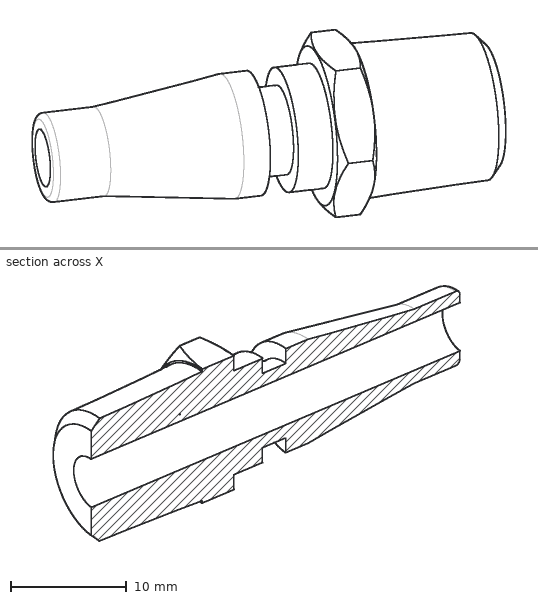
import cadquery as cq
import math

tip_length = 5.0
cone_length = 11.5
front_collar_length = 2.4
groove_length = 2.5
rear_collar_length = 3.1
hex_length = 3.5
thread_length = 12.0

tip_radius = 7.8 / 2
tip_fillet = 0.5
collar_radius = 10.9 / 2
groove_radius = tip_radius
bore_radius = 5.0 / 2

hex_across_flats = 14.0
hex_face_radius = 13.9 / 2
hex_chamfer_angle = 30.0

gauge_radius = 13.157 / 2
gauge_distance = 6.0
thread_slope = 1 / 16 / 2
thread_end_radius = 10.9 / 2
thread_chamfer_length = 0.9

cone_start = tip_length
front_collar_start = cone_start + cone_length
groove_start = front_collar_start + front_collar_length
rear_collar_start = groove_start + groove_length
hex_start = rear_collar_start + rear_collar_length
hex_end = hex_start + hex_length
total_length = hex_end + thread_length
gauge_y = total_length - gauge_distance
thread_chamfer_y = total_length - thread_chamfer_length


def revolve_profile(points):
    """Revolve a closed outline of (radius, y) points about the Y axis."""
    return cq.Workplane("XY").polyline(points).close().revolve(360, (0, 0, 0), (0, 1, 0))


def thread_radius(y):
    """Radius of the tapered thread, shrinking toward the +Y end."""
    return gauge_radius + (gauge_y - y) * thread_slope


def make_plug():
    """Tip, cone, and the two collars with the groove between them."""
    plug = revolve_profile([
        (0, 0),
        (tip_radius, 0),
        (tip_radius, cone_start),
        (collar_radius, front_collar_start),
        (collar_radius, groove_start),
        (groove_radius, groove_start),
        (groove_radius, rear_collar_start),
        (collar_radius, rear_collar_start),
        (collar_radius, hex_start),
        (0, hex_start),
    ])
    return plug.faces("<Y").edges().fillet(tip_fillet)


def make_hexagon():
    """Hexagon with corners on the X axis, cut by a cone on each face."""
    corner_radius = hex_across_flats / math.sqrt(3)
    chamfer_depth = (corner_radius - hex_face_radius) * math.tan(math.radians(hex_chamfer_angle))
    prism = (
        cq.Workplane("XZ", origin=(0, hex_start, 0))
        .polygon(6, 2 * corner_radius)
        .extrude(-hex_length)
    )
    chamfer_envelope = revolve_profile([
        (0, hex_start),
        (hex_face_radius, hex_start),
        (corner_radius, hex_start + chamfer_depth),
        (corner_radius, hex_end - chamfer_depth),
        (hex_face_radius, hex_end),
        (0, hex_end),
    ])
    return prism.intersect(chamfer_envelope)


def make_thread():
    """Tapered thread body with a chamfered end."""
    return revolve_profile([
        (0, hex_end),
        (thread_radius(hex_end), hex_end),
        (thread_radius(thread_chamfer_y), thread_chamfer_y),
        (thread_end_radius, total_length),
        (0, total_length),
    ])


def make_bore():
    """Straight bore through the whole length."""
    return cq.Workplane("XZ").circle(bore_radius).extrude(-total_length)


result = make_plug().union(make_hexagon()).union(make_thread()).cut(make_bore())